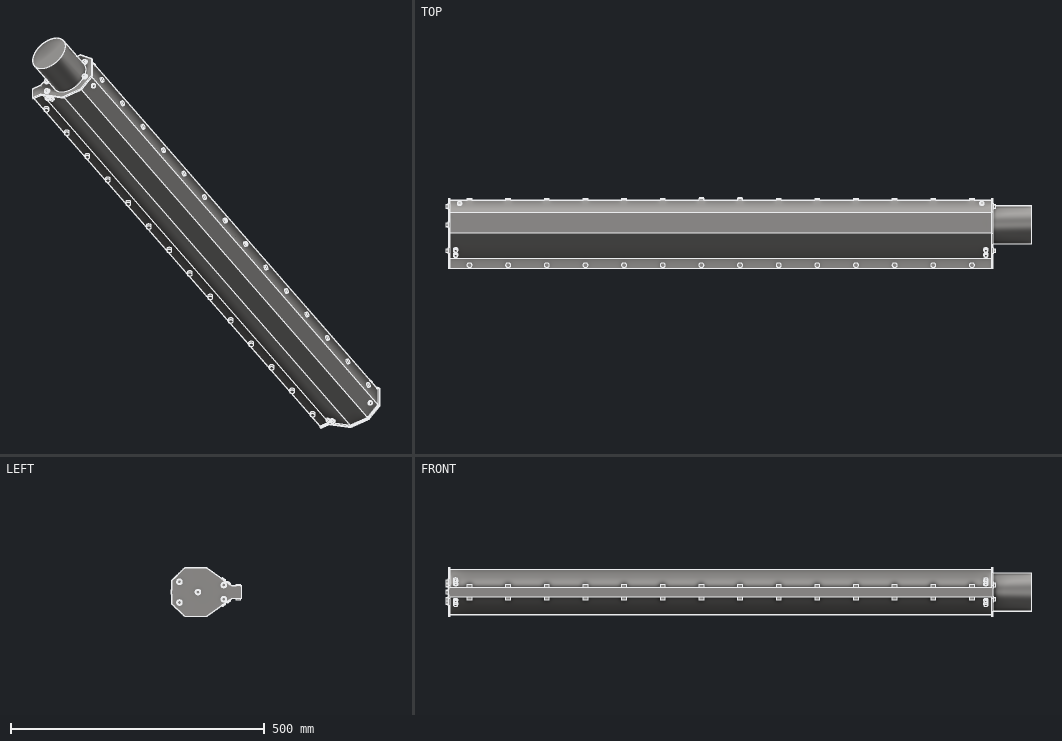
import cadquery as cq

OVERALL_DEPTH = 139.7

BODY_LENGTH = 1066.8
PLATE_THICKNESS = 3.175
PLATE_LIP = 3.175
PLATE_HALF_HEIGHT = 48.26

BODY_HALF_HEIGHT = PLATE_HALF_HEIGHT - PLATE_LIP
BACK_Y = 48.6
BACK_HALF_HEIGHT = 22.0
ROOF_BACK_Y = 24.5
ROOF_FRONT_Y = -15.8
NECK_Y = -66.2
FLANGE_HALF_HEIGHT = 9.525
FLANGE_EDGE_Y = -86.2

PIPE_DIAMETER = 76.2
PIPE_LENGTH = 76.2

ROW_COUNT = 14
ROW_PITCH = 76.2
ROW_HEAD_DIAMETER = 9.5
FLANGE_HEAD_Y = -79.5
FLANGE_HEAD_HEIGHT = 6.0
BACK_HEAD_HEIGHT = 3.2
STUD_DIAMETER = 7.6
STUD_HEIGHT = OVERALL_DEPTH + FLANGE_EDGE_Y - BACK_Y
MIDDLE_INDICES = (ROW_COUNT // 2 - 1, ROW_COUNT // 2)

WASHER_HEIGHT = 1.6
HEAD_DIAMETER = 7.6
SCREW_HEIGHT = 5.08

END_WASHER_DIAMETER = 11.0
END_BACK_Y, END_BACK_Z = 36.5, 20.5
END_FRONT_Y, END_FRONT_Z = -51.0, 14.0

SLOPE_WASHER_DIAMETER = 9.0
FRONT_SLOPE_INSET = 10.7
FRONT_SLOPE_SCREW_Y = (-48.5, -58.5)
BACK_SLOPE_INSET = 18.5
BACK_SLOPE_SCREW_Y = 41.5
BACK_SLOPE_SCREW_HEIGHT = 3.2

HALF_LENGTH = BODY_LENGTH / 2
PLATE_FACE_X = HALF_LENGTH + PLATE_THICKNESS
EMBED = 1.0
SIDES = (1, -1)

FRONT_SLOPE = ((ROOF_FRONT_Y, BODY_HALF_HEIGHT), (NECK_Y, FLANGE_HALF_HEIGHT))
BACK_SLOPE = ((BACK_Y, BACK_HALF_HEIGHT), (ROOF_BACK_Y, BODY_HALF_HEIGHT))


def body_outline():
    """Closed cross-section of the housing in the YZ plane."""
    upper = [(FLANGE_EDGE_Y, FLANGE_HALF_HEIGHT), *reversed(FRONT_SLOPE), *reversed(BACK_SLOPE)]
    lower = [(y, -z) for y, z in reversed(upper)]
    return cq.Workplane("YZ").polyline(upper + lower).close()


def housing():
    return body_outline().extrude(HALF_LENGTH, both=True)


def end_plates():
    """Plates that follow the housing outline with a lip, flush at the flange edge."""
    blank = body_outline().offset2D(PLATE_LIP, "intersection").extrude(PLATE_FACE_X, both=True)
    size_y = BACK_Y + PLATE_LIP - FLANGE_EDGE_Y
    center_y = FLANGE_EDGE_Y + size_y / 2
    size_z = 2 * PLATE_HALF_HEIGHT
    envelope = cq.Workplane("XY").box(2 * PLATE_FACE_X, size_y, size_z).translate((0, center_y, 0))
    between_plates = cq.Workplane("XY").box(BODY_LENGTH, 2 * size_y, 2 * size_z)
    return blank.intersect(envelope).cut(between_plates)


def pipe():
    end_face = cq.Workplane("YZ").workplane(offset=PLATE_FACE_X)
    return end_face.circle(PIPE_DIAMETER / 2).extrude(PIPE_LENGTH)


def peg(base, direction, diameter, height):
    """Cylinder standing on the point base, with its root sunk into the face."""
    axis = cq.Vector(*direction).normalized()
    root = cq.Vector(*base) - axis * EMBED
    return cq.Solid.makeCylinder(diameter / 2, height + EMBED, root, axis)


def stepped_screw(base, direction, washer_diameter, height=SCREW_HEIGHT):
    washer = peg(base, direction, washer_diameter, WASHER_HEIGHT)
    head = peg(base, direction, HEAD_DIAMETER, height)
    return [washer, head]


def row_screws():
    """Screws on both flange faces and on the back face."""
    pegs = []
    for index in range(ROW_COUNT):
        x = (index - (ROW_COUNT - 1) / 2) * ROW_PITCH
        for side in SIDES:
            base = (x, FLANGE_HEAD_Y, side * FLANGE_HALF_HEIGHT)
            pegs.append(peg(base, (0, 0, side), ROW_HEAD_DIAMETER, FLANGE_HEAD_HEIGHT))
        back = (x, BACK_Y, 0)
        pegs.append(peg(back, (0, 1, 0), ROW_HEAD_DIAMETER, BACK_HEAD_HEIGHT))
        if index in MIDDLE_INDICES:
            pegs.append(peg(back, (0, 1, 0), STUD_DIAMETER, STUD_HEIGHT))
    return pegs


def end_plate_screws():
    """Four screws on each end plate and one in the middle of the closed end."""
    pegs = stepped_screw((-PLATE_FACE_X, 0, 0), (-1, 0, 0), END_WASHER_DIAMETER)
    for end in SIDES:
        for side in SIDES:
            for y, z in ((END_BACK_Y, END_BACK_Z), (END_FRONT_Y, END_FRONT_Z)):
                base = (end * PLATE_FACE_X, y, side * z)
                pegs += stepped_screw(base, (end, 0, 0), END_WASHER_DIAMETER)
    return pegs


def slope_screws(slope, y, inset, height):
    """Screws square to a sloping face, at both ends, above and below."""
    (start_y, start_z), (end_y, end_z) = slope
    run = end_y - start_y
    rise = end_z - start_z
    z = start_z + rise * (y - start_y) / run
    pegs = []
    for end in SIDES:
        for side in SIDES:
            base = (end * (HALF_LENGTH - inset), y, side * z)
            outward = (0, rise, side * -run)
            pegs += stepped_screw(base, outward, SLOPE_WASHER_DIAMETER, height)
    return pegs


fasteners = row_screws() + end_plate_screws()
for screw_y in FRONT_SLOPE_SCREW_Y:
    fasteners += slope_screws(FRONT_SLOPE, screw_y, FRONT_SLOPE_INSET, SCREW_HEIGHT)
fasteners += slope_screws(BACK_SLOPE, BACK_SLOPE_SCREW_Y, BACK_SLOPE_INSET, BACK_SLOPE_SCREW_HEIGHT)

result = housing().union(end_plates()).union(pipe())
for fastener in fasteners:
    result = result.union(cq.Workplane(fastener))